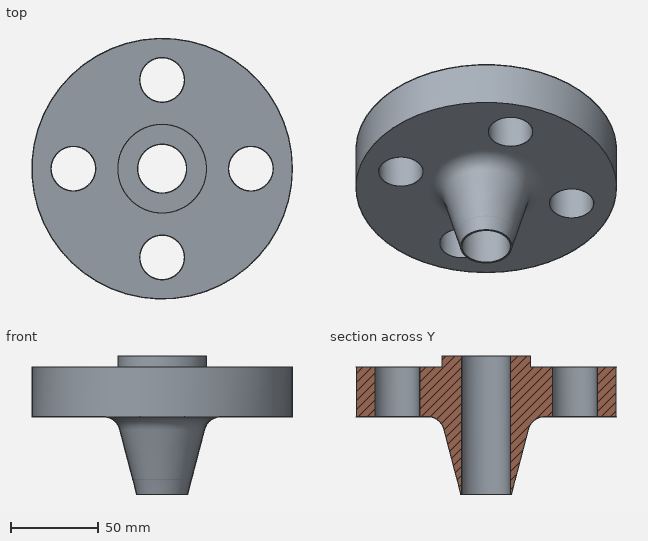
import cadquery as cq
import math

flange_diameter = 149.225
flange_thickness = 28.575
face_diameter = 50.8
face_height = 6.35
overall_height = 79.375

bore_diameter = 27.86
bolt_hole_diameter = 25.4
bolt_circle_diameter = 101.6
bolt_hole_count = 4

hub_base_diameter = 52.4
hub_fillet_radius = 9.525
neck_end_diameter = 33.6
weld_top_diameter = 33.2
weld_tip_diameter = 29.3
weld_end_length = 8.1
weld_bevel_length = 0.4

disc_top = overall_height - face_height
disc_bottom = disc_top - flange_thickness


def make_disc():
    """Flange disc with the raised gasket face on top."""
    disc = (
        cq.Workplane("XY")
        .workplane(offset=disc_bottom)
        .circle(flange_diameter / 2)
        .extrude(flange_thickness)
    )
    face = (
        cq.Workplane("XY")
        .workplane(offset=disc_top)
        .circle(face_diameter / 2)
        .extrude(face_height)
    )
    return disc.union(face)


def make_hub():
    """Revolved hub: tapered weld end, short bevel, conical neck and fillet."""
    base_radius = hub_base_diameter / 2
    neck_end_radius = neck_end_diameter / 2
    neck_length = disc_bottom - weld_end_length - weld_bevel_length
    taper = math.atan((base_radius - neck_end_radius) / neck_length)

    tangent_length = hub_fillet_radius * math.tan((math.pi / 2 - taper) / 2)
    arc_center_r = base_radius + tangent_length
    arc_center_z = disc_bottom - hub_fillet_radius

    def fillet_point(angle):
        return (
            arc_center_r + hub_fillet_radius * math.cos(angle),
            arc_center_z + hub_fillet_radius * math.sin(angle),
        )

    cone_angle = math.pi - taper
    disc_angle = math.pi / 2
    profile = (
        cq.Workplane("XZ")
        .moveTo(0, 0)
        .lineTo(weld_tip_diameter / 2, 0)
        .lineTo(weld_top_diameter / 2, weld_end_length)
        .lineTo(neck_end_radius, weld_end_length + weld_bevel_length)
        .lineTo(*fillet_point(cone_angle))
        .threePointArc(fillet_point((cone_angle + disc_angle) / 2), fillet_point(disc_angle))
        .lineTo(0, disc_bottom)
        .close()
    )
    return profile.revolve(360, (0, 0, 0), (0, 1, 0))


def cut_bore(body):
    """Straight bore through the full height."""
    bore = cq.Workplane("XY").circle(bore_diameter / 2).extrude(overall_height)
    return body.cut(bore)


def cut_bolt_holes(body):
    """Evenly spaced bolt holes through the disc, the first one on +X."""
    holes = (
        cq.Workplane("XY")
        .workplane(offset=disc_bottom)
        .polarArray(bolt_circle_diameter / 2, 0, 360, bolt_hole_count)
        .circle(bolt_hole_diameter / 2)
        .extrude(flange_thickness)
    )
    return body.cut(holes)


result = cut_bolt_holes(cut_bore(make_disc().union(make_hub())))